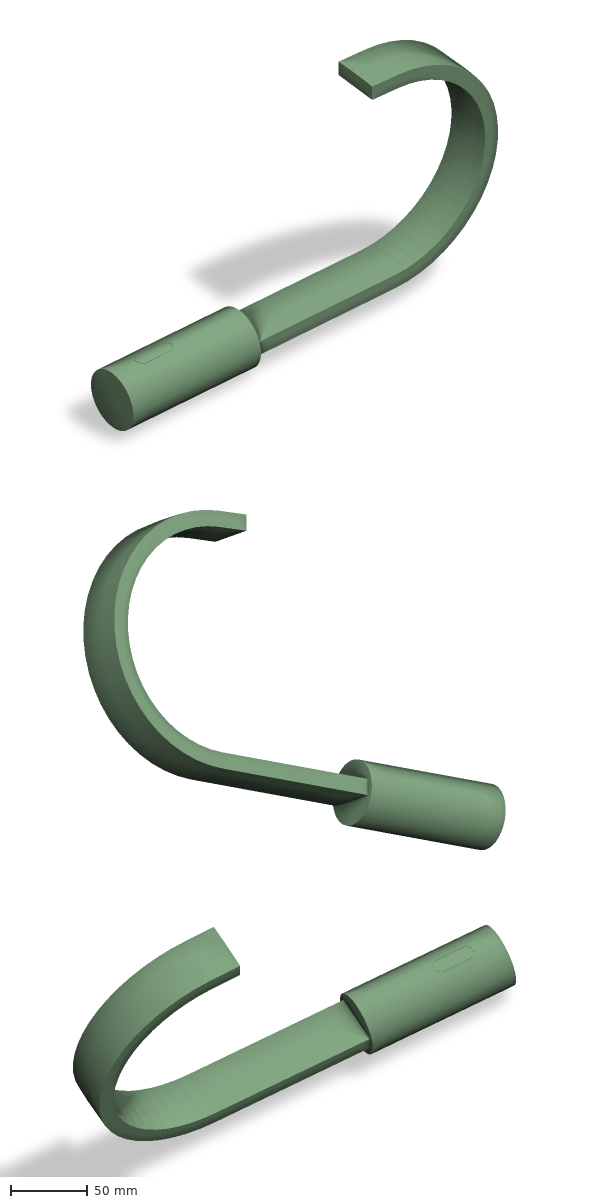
import cadquery as cq
import math

overall_length = 312.94
overall_height = 192.47

handle_diameter = 44.2
handle_length = 108.0
handle_radius = handle_diameter / 2

button_length = 30.2
button_width = 10.8
button_center_y = 35.0
button_groove_width = 0.7
button_groove_depth = 0.3

strap_width = 35.0
edge_thickness = 11.0
crown_height = 0.4
shank_bottom_z = -edge_thickness / 2
bend_angle = 178.0
tip_length = 22.3

overturn = math.radians(180 - bend_angle)
tip_top_z = overall_height - handle_radius
tip_rise = tip_length * math.sin(overturn)
crown_bottom_z = shank_bottom_z - crown_height
crown_radius = (tip_top_z - tip_rise - crown_bottom_z) / (1 + math.cos(overturn))
bend_center_y = overall_length - crown_radius
bend_center_z = crown_bottom_z + crown_radius
shank_length = bend_center_y - handle_length


def make_handle():
    """Round bar with the button outline engraved along its top."""
    bar = cq.Workplane("XZ").circle(handle_radius).extrude(-handle_length)
    return bar.cut(make_button_groove())


def make_button_groove():
    """Ring-shaped cutter that follows the top of the handle at an even depth."""
    ring = (
        cq.Workplane("XY")
        .center(0, button_center_y)
        .slot2D(button_length, button_width, 90)
        .slot2D(button_length - 2 * button_groove_width, button_width - 2 * button_groove_width, 90)
        .extrude(handle_diameter)
    )
    core = cq.Workplane("XZ").circle(handle_radius - button_groove_depth).extrude(-handle_length)
    return ring.cut(core)


def strap_section():
    """Strap cross-section in XZ: flat inner face upward, crowned outer face downward."""
    half_width = strap_width / 2
    inner_z = shank_bottom_z + edge_thickness
    return (
        cq.Workplane("XZ", origin=(0, handle_length, 0))
        .moveTo(-half_width, shank_bottom_z)
        .threePointArc((0, crown_bottom_z), (half_width, shank_bottom_z))
        .lineTo(half_width, inner_z)
        .lineTo(-half_width, inner_z)
        .close()
    )


def make_strap():
    """Hook strap swept along the underside crown line, from the handle to the tip."""
    half_bend = math.radians(bend_angle / 2)
    full_bend = math.radians(bend_angle)

    def bend_point(angle):
        return (
            bend_center_y + crown_radius * math.sin(angle),
            bend_center_z - crown_radius * math.cos(angle),
        )

    bend_end_y, bend_end_z = bend_point(full_bend)
    tip_end = (bend_end_y - tip_length * math.cos(overturn), bend_end_z + tip_rise)
    path = (
        cq.Workplane("YZ")
        .moveTo(handle_length, crown_bottom_z)
        .lineTo(handle_length + shank_length, crown_bottom_z)
        .threePointArc(bend_point(half_bend), (bend_end_y, bend_end_z))
        .lineTo(*tip_end)
    )
    swept = strap_section().sweep(path)

    trim = cq.Workplane("XY").box(strap_width, tip_length, overall_height, centered=(True, False, True))
    trim = trim.translate((0, tip_end[0] - tip_length, overall_height))
    return swept.cut(trim)


handle = make_handle()
strap = make_strap()

result = cq.Compound.makeCompound([handle.val(), strap.val()])